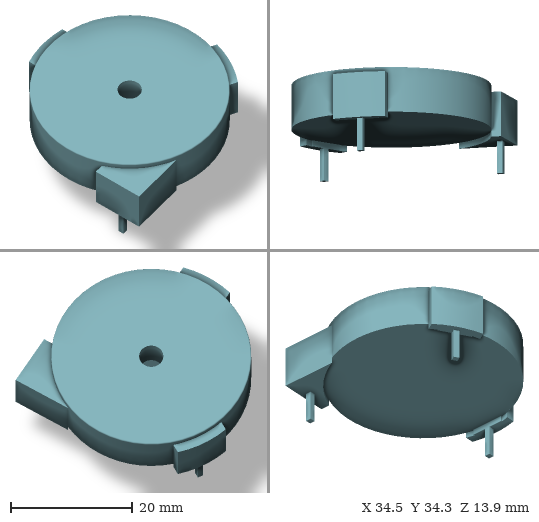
import cadquery as cq
import math

case_radius = 16.5
case_height = 7.5
rim_fillet_radius = 0.2
sound_hole_diameter = 4.0
sound_hole_depth = 5.0

lug_width = 9.0
lug_height = 7.5
lug_drop = 1.0
round_lug_radius = 18.0
round_lug_angles = (60, 180)
corner_lug_center_x = 10.5
corner_lug_outer_y = -17.0

blade_width = 6.0
pin_thickness = 1.0
leg_length = 5.4
blade_margin = 1.0

case_top = lug_drop + case_height
corner_lug_outer_x = corner_lug_center_x + lug_width / 2


def make_cylinder(radius, bottom, height):
    return cq.Workplane("XY").workplane(offset=bottom).circle(radius).extrude(height)


def make_case():
    """Solid disc with a rounded top rim."""
    disc = make_cylinder(case_radius, lug_drop, case_height)
    return disc.faces(">Z").fillet(rim_fillet_radius)


def make_round_lug(angle):
    """Straight-sided lug with an outer face concentric with the case."""
    bar = cq.Workplane("XY").box(round_lug_radius, lug_width, lug_height, centered=(False, True, False))
    lug = bar.intersect(make_cylinder(round_lug_radius, 0, lug_height))
    return lug.cut(make_cylinder(case_radius, 0, lug_height)).rotate((0, 0, 0), (0, 0, 1), angle)


def make_corner_lug():
    """Square-cornered lug whose outer side runs back until it meets the case."""
    inner_x = corner_lug_outer_x - lug_width
    meeting_y = -math.sqrt(case_radius**2 - corner_lug_outer_x**2)
    block = (
        cq.Workplane("XY")
        .moveTo(inner_x, corner_lug_outer_y)
        .lineTo(corner_lug_outer_x, corner_lug_outer_y)
        .lineTo(corner_lug_outer_x, meeting_y)
        .lineTo(inner_x, meeting_y)
        .close()
        .extrude(lug_height)
    )
    return block.cut(make_cylinder(case_radius, 0, lug_height))


def make_pin(outer_distance, side_offset, angle):
    """Pin with its outer face at outer_distance along the direction given by angle."""
    center = outer_distance - pin_thickness / 2
    base = cq.Workplane("XY").center(center, side_offset)
    blade = base.rect(pin_thickness, blade_width).extrude(lug_height)
    leg = base.rect(pin_thickness, pin_thickness).extrude(-leg_length)
    return blade.union(leg).rotate((0, 0, 0), (0, 0, 1), angle)


pin_places = [(round_lug_radius - blade_margin, 0, angle) for angle in round_lug_angles]
pin_places.append((-corner_lug_outer_y - blade_margin, corner_lug_center_x, -90))
pins = [make_pin(*place) for place in pin_places]

housing = make_case().union(make_corner_lug())
for lug_angle in round_lug_angles:
    housing = housing.union(make_round_lug(lug_angle))
housing = housing.cut(make_cylinder(sound_hole_diameter / 2, case_top - sound_hole_depth, sound_hole_depth))
for pin in pins:
    housing = housing.cut(pin)

result = cq.Compound.makeCompound([housing.val(), *[pin.val() for pin in pins]])